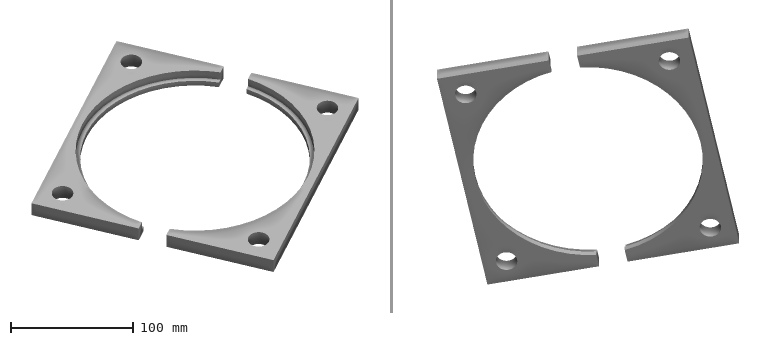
import cadquery as cq

side = 210.0
thickness = 13.0
gap = 24.0

bore_diameter = 188.0
recess_diameter = 195.5
lip_height = 5.0

hole_diameter = 17.6
hole_spacing = 170.0


def clamp_half(direction):
    """Half plate on the -X (direction -1) or +X (direction +1) side, with its underside at Z = 0."""
    width = (side - gap) / 2
    center_x = direction * (gap + width) / 2
    plate = cq.Workplane("XY").center(center_x, 0).rect(width, side).extrude(thickness)

    bore = cq.Workplane("XY").circle(bore_diameter / 2).extrude(thickness)
    recess = (
        cq.Workplane("XY")
        .workplane(offset=lip_height)
        .circle(recess_diameter / 2)
        .extrude(thickness - lip_height)
    )

    hole_x = direction * hole_spacing / 2
    hole_centers = [(hole_x, -hole_spacing / 2), (hole_x, hole_spacing / 2)]
    holes = cq.Workplane("XY").pushPoints(hole_centers).circle(hole_diameter / 2).extrude(thickness)

    return plate.cut(bore).cut(recess).cut(holes)


clamp_halves = [clamp_half(direction) for direction in (-1, 1)]

result = cq.Compound.makeCompound([half.val() for half in clamp_halves])